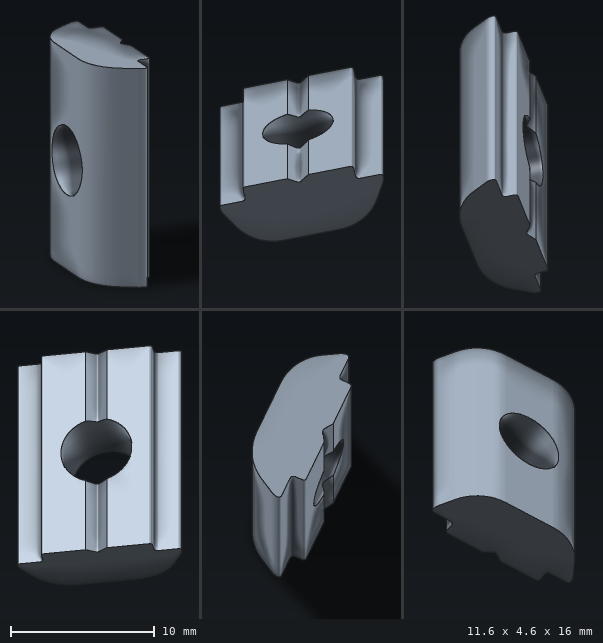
import cadquery as cq
import math

width = 11.6
depth = 4.6
length = 16.0

rail_width = 7.85
rail_height = 1.04
groove_width = 1.5
groove_depth = 0.48

front_flat_width = 4.0
front_radius = 3.5
flank_angle = math.radians(60)

rail_radius = 0.2
shelf_inner_radius = 0.25
shelf_outer_radius = 0.2
flank_radius = 1.0
groove_radius = 0.24

hole_diameter = 5.0

half_width = width / 2
half_rail = rail_width / 2
half_groove = groove_width / 2
half_flat = front_flat_width / 2
back_y = depth / 2
front_y = -depth / 2
shelf_y = back_y - rail_height
groove_y = back_y - groove_depth


def front_arc_point(angle):
    """Point on the right front arc, turned by angle from the flat strip."""
    x = half_flat + front_radius * math.sin(angle)
    y = front_y + front_radius * (1 - math.cos(angle))
    return x, y


def mirrored(point):
    x, y = point
    return -x, y


arc_middle = front_arc_point(flank_angle / 2)
arc_end = front_arc_point(flank_angle)
flank_top_y = arc_end[1] + (half_width - arc_end[0]) * math.tan(flank_angle)


def make_body():
    """Sharp-cornered cross-section, extruded along Z."""
    return (
        cq.Workplane("XY")
        .workplane(offset=-length / 2)
        .moveTo(-half_flat, front_y)
        .lineTo(half_flat, front_y)
        .threePointArc(arc_middle, arc_end)
        .lineTo(half_width, flank_top_y)
        .lineTo(half_width, shelf_y)
        .lineTo(half_rail, shelf_y)
        .lineTo(half_rail, back_y)
        .lineTo(half_groove, back_y)
        .lineTo(0, groove_y)
        .lineTo(-half_groove, back_y)
        .lineTo(-half_rail, back_y)
        .lineTo(-half_rail, shelf_y)
        .lineTo(-half_width, shelf_y)
        .lineTo(-half_width, flank_top_y)
        .lineTo(*mirrored(arc_end))
        .threePointArc(mirrored(arc_middle), (-half_flat, front_y))
        .close()
        .extrude(length)
    )


def round_edges(body, x, y, radius):
    """Round the lengthwise edges at (x, y) and (-x, y)."""
    for side_x in {x, -x}:
        edge = cq.selectors.NearestToPointSelector((side_x, y, 0))
        body = body.edges(edge).fillet(radius)
    return body


body = make_body()
body = round_edges(body, half_width, flank_top_y, flank_radius)
body = round_edges(body, half_width, shelf_y, shelf_outer_radius)
body = round_edges(body, half_rail, shelf_y, shelf_inner_radius)
body = round_edges(body, half_rail, back_y, rail_radius)
body = round_edges(body, 0, groove_y, groove_radius)

hole = cq.Workplane("XZ").circle(hole_diameter / 2).extrude(depth, both=True)

result = body.cut(hole)